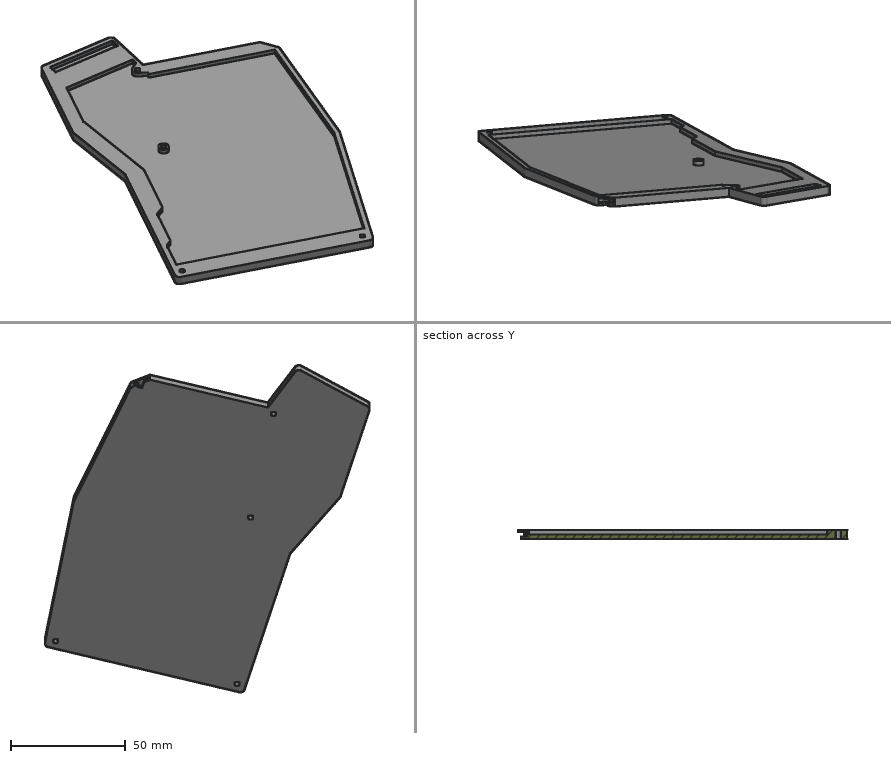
import cadquery as cq
import math

THICKNESS = 4.0
LENGTH_X = 168.0
LENGTH_Y = 110.99
FLOOR = 2.0
CORNER_RADIUS = 2.0
CORNER_CUT_RADIUS = 2.4

WING_TILT = 17.0
TOP_LEFT_SLOPE = 7.0
TOP_RIGHT_SLOPE = 6.0
LOWER_SLOPE = 20.9

APEX_X = 92.25
LEFT_SIDE_X = 22.4
LOWER_RIGHT_Y = 13.05
LOWER_BEND_X = 58.55
WING_CORNER_Y = 36.0
CORNER_CUT_X = 28.35
CORNER_CUT_BOTTOM_Y = 96.2

TOP_WALL = 2.55
POCKET_LEFT_X = 29.4
POCKET_RIGHT_X = 159.25
POCKET_LEVELS_Y = (21.8, 18.25, 15.8)
POCKET_STEPS_X = (119.65, 142.75)
POCKET_BOTTOM_Y = 6.5
POCKET_BEND_X = 52.2
POCKET_WING_X = 27.85
POCKET_WING_TOP_Y = 39.6
POCKET_WING_TOP_WIDTH = 2.5

SCREW_DIAMETER = 2.2
RIGHT_HOLE_X = 164.1
RIGHT_HOLES_Y = (17.0, 99.0)
WING_HOLE = (24.9, 39.7)

BOSS_CENTER = (79.4, 34.7)
BOSS_DIAMETER = 4.5
TAB_RADIUS = 2.4
TAB_ROOT = (28.1, 43.4)

SLOT_CENTER = (9.25, 20.2)
SLOT_LENGTH = 32.75
SLOT_WIDTH = 4.2
SLOT_DEPTH = 1.9

PORT_CENTER_Y = 99.45
PORT_WIDTH = 5.1
PORT_BOTTOM_Z = 1.2
PORT_TOP_Z = 3.15
PORT_END_X = 28.5
NOTCH_WIDTH = 2.1
NOTCH_END_X = 27.5


def slope(angle):
    """Rise per unit of run of a line at this angle in degrees."""
    return math.tan(math.radians(angle))


def sharp_apex_y():
    """Height where the two top edges would meet; rounding brings the apex down to LENGTH_Y."""
    mean_slope = math.radians((TOP_LEFT_SLOPE + TOP_RIGHT_SLOPE) / 2)
    lean = math.radians((TOP_LEFT_SLOPE - TOP_RIGHT_SLOPE) / 2)
    return LENGTH_Y + CORNER_RADIUS * (math.cos(lean) / math.cos(mean_slope) - 1)


def round_corner(body, point, radius):
    """Round the vertical edge nearest to a corner point of the outline."""
    nearest = cq.selectors.NearestToPointSelector((*point, THICKNESS / 2))
    return body.edges("|Z").edges(nearest).fillet(radius)


def plate():
    apex = (APEX_X, sharp_apex_y())
    tilt = math.radians(WING_TILT)
    wing_corner_x = CORNER_RADIUS * (1 - math.cos(tilt) - math.sin(tilt))
    wing_corner = (wing_corner_x, WING_CORNER_Y)
    wing_foot = (wing_corner_x + WING_CORNER_Y * slope(WING_TILT), 0)
    wing_root_y = WING_CORNER_Y + (LEFT_SIDE_X - wing_corner_x) * slope(WING_TILT)
    lower_bend = (LOWER_BEND_X, 0)
    upper_bend = (LOWER_BEND_X + LOWER_RIGHT_Y / slope(LOWER_SLOPE), LOWER_RIGHT_Y)
    lower_right = (LENGTH_X, LOWER_RIGHT_Y)
    upper_right = (LENGTH_X, apex[1] - (LENGTH_X - APEX_X) * slope(TOP_RIGHT_SLOPE))
    corner_cut_top = (CORNER_CUT_X, apex[1] - (APEX_X - CORNER_CUT_X) * slope(TOP_LEFT_SLOPE))
    outline = [
        wing_corner,
        wing_foot,
        lower_bend,
        upper_bend,
        lower_right,
        upper_right,
        apex,
        corner_cut_top,
        (LEFT_SIDE_X, CORNER_CUT_BOTTOM_Y),
        (LEFT_SIDE_X, wing_root_y),
    ]
    body = cq.Workplane("XY").polyline(outline).close().extrude(THICKNESS)
    for corner in (wing_corner, wing_foot, lower_bend, upper_bend, lower_right, upper_right, apex):
        body = round_corner(body, corner, CORNER_RADIUS)
    return round_corner(body, corner_cut_top, CORNER_CUT_RADIUS)


def tab_point(angle):
    """Point on the round end of the tab, at an angle in radians."""
    x, y = WING_HOLE
    return (x + TAB_RADIUS * math.cos(angle), y + TAB_RADIUS * math.sin(angle))


def tangent_angle(start, side):
    """Angle where a line from start touches the tab's round end, for side +1 or -1."""
    dx = start[0] - WING_HOLE[0]
    dy = start[1] - WING_HOLE[1]
    return math.atan2(dy, dx) + side * math.acos(TAB_RADIUS / math.hypot(dx, dy))


def pocket():
    apex_y = sharp_apex_y() - TOP_WALL
    left_top_y = apex_y - (APEX_X - POCKET_LEFT_X) * slope(TOP_LEFT_SLOPE)
    right_top_y = apex_y - (POCKET_RIGHT_X - APEX_X) * slope(TOP_RIGHT_SLOPE)
    high, middle, low = POCKET_LEVELS_Y
    first_step_x, second_step_x = POCKET_STEPS_X
    bend_top_x = POCKET_BEND_X + (high - POCKET_BOTTOM_Y) / slope(LOWER_SLOPE)
    wing_top_x = POCKET_WING_X - (POCKET_WING_TOP_Y - POCKET_BOTTOM_Y) * slope(WING_TILT)
    tab_left_root = (
        wing_top_x + POCKET_WING_TOP_WIDTH,
        POCKET_WING_TOP_Y + POCKET_WING_TOP_WIDTH * slope(WING_TILT),
    )
    arc_start = tangent_angle(TAB_ROOT, -1)
    arc_end = tangent_angle(tab_left_root, 1) - math.tau
    return (
        cq.Workplane("XY", origin=(0, 0, FLOOR))
        .moveTo(*tab_left_root)
        .lineTo(wing_top_x, POCKET_WING_TOP_Y)
        .lineTo(POCKET_WING_X, POCKET_BOTTOM_Y)
        .lineTo(POCKET_BEND_X, POCKET_BOTTOM_Y)
        .lineTo(bend_top_x, high)
        .lineTo(first_step_x, high)
        .lineTo(first_step_x + high - middle, middle)
        .lineTo(second_step_x, middle)
        .lineTo(second_step_x + middle - low, low)
        .lineTo(POCKET_RIGHT_X, low)
        .lineTo(POCKET_RIGHT_X, right_top_y)
        .lineTo(APEX_X, apex_y)
        .lineTo(POCKET_LEFT_X, left_top_y)
        .lineTo(POCKET_LEFT_X, TAB_ROOT[1])
        .lineTo(*TAB_ROOT)
        .lineTo(*tab_point(arc_start))
        .threePointArc(tab_point((arc_start + arc_end) / 2), tab_point(arc_end))
        .close()
        .extrude(THICKNESS - FLOOR)
    )


def full_height_cylinder(center, diameter):
    return cq.Workplane("XY").center(*center).circle(diameter / 2).extrude(THICKNESS)


def wing_slot():
    return (
        cq.Workplane("XY")
        .box(SLOT_WIDTH, SLOT_LENGTH, SLOT_DEPTH, centered=(True, True, False))
        .rotate((0, 0, 0), (0, 0, 1), WING_TILT)
        .translate((*SLOT_CENTER, THICKNESS - SLOT_DEPTH))
    )


def port_recess(width, bottom, top, end_x):
    """Blind rectangular recess running along X into the cut-off corner."""
    return (
        cq.Workplane("XY")
        .box(end_x - LEFT_SIDE_X, width, top - bottom, centered=(False, True, False))
        .translate((LEFT_SIDE_X, PORT_CENTER_Y, bottom))
    )


result = plate().cut(pocket())
result = result.union(full_height_cylinder(BOSS_CENTER, BOSS_DIAMETER))

screw_holes = [WING_HOLE, BOSS_CENTER] + [(RIGHT_HOLE_X, y) for y in RIGHT_HOLES_Y]
for hole in screw_holes:
    result = result.cut(full_height_cylinder(hole, SCREW_DIAMETER))

result = result.cut(wing_slot())
result = result.cut(port_recess(PORT_WIDTH, PORT_BOTTOM_Z, PORT_TOP_Z, PORT_END_X))
result = result.cut(port_recess(NOTCH_WIDTH, 0, PORT_BOTTOM_Z, NOTCH_END_X))